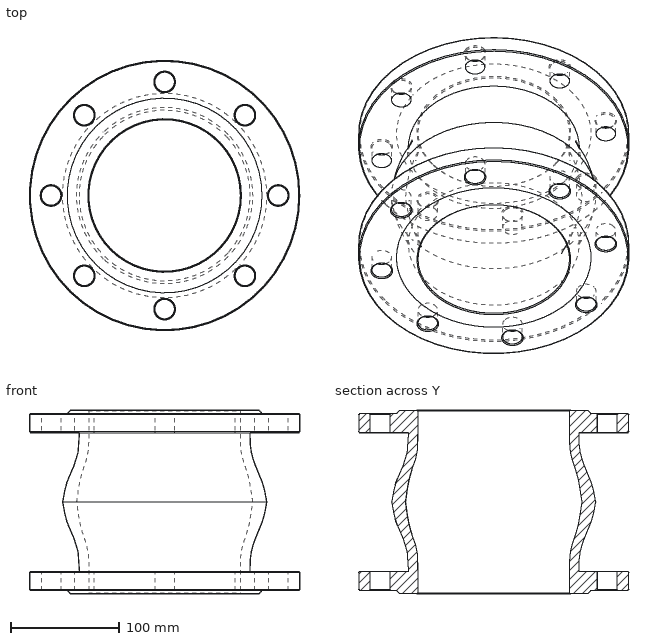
import cadquery as cq
import math

TOTAL_LENGTH = 170.0
FLANGE_DIAMETER = 250.0
FLANGE_THICKNESS = 18.0
FLANGE_CHAMFER = 1.0

FACE_HEIGHT = 3.0
FACE_CONE_ANGLE = 45.0
FACE_BASE_RADIUS = 90.0
FACE_TOP_RADIUS = FACE_BASE_RADIUS - FACE_HEIGHT / math.tan(math.radians(FACE_CONE_ANGLE))
FACE_EDGE_RADIUS = 1.0

BORE_DIAMETER = 140.0
BORE_CHAMFER = 1.0

BOLT_COUNT = 8
BOLT_CIRCLE_DIAMETER = 210.0
BOLT_HOLE_DIAMETER = 18.0
BOLT_HOLE_CHAMFER = 1.0

OUTER_RADII = (79.0, 81.0, 89.2, 94.5)
INNER_RADII = (BORE_DIAMETER / 2, 71.5, 78.0, 81.5)

CREST_SLOPE = 0.15

FACE_Z = TOTAL_LENGTH / 2
FLANGE_OUTER_Z = FACE_Z - FACE_HEIGHT
FLANGE_INNER_Z = FLANGE_OUTER_Z - FLANGE_THICKNESS

FULL_TURN = 360.0
AXIS_START = (0, 0, 0)
AXIS_END = (0, 1, 0)


def wall_points(radii):
    """(radius, height) points of a bellows wall curve, from the flange to the middle plane."""
    steps = len(radii) - 1
    return [(radius, FLANGE_INNER_Z * (1 - i / steps)) for i, radius in enumerate(radii)]


def make_upper_body():
    """Upper flange and half of the bellows, revolved about Z from one closed profile."""
    outer = wall_points(OUTER_RADII)
    inner_upward = wall_points(INNER_RADII)[::-1]
    bore = BORE_DIAMETER / 2
    rim = FLANGE_DIAMETER / 2

    cone_angle = math.radians(FACE_CONE_ANGLE)
    edge_setback = FACE_EDGE_RADIUS * math.tan(cone_angle / 2)
    edge_end = (
        FACE_TOP_RADIUS + edge_setback * math.cos(cone_angle),
        FACE_Z - edge_setback * math.sin(cone_angle),
    )

    outer_tangents = [(0, -1), (CREST_SLOPE, -1)]
    inner_tangents = [(-CREST_SLOPE, 1), (0, 1)]

    profile = (
        cq.Workplane("XZ")
        .moveTo(bore, FLANGE_INNER_Z)
        .lineTo(bore, FACE_Z - BORE_CHAMFER)
        .lineTo(bore + BORE_CHAMFER, FACE_Z)
        .lineTo(FACE_TOP_RADIUS - edge_setback, FACE_Z)
        .radiusArc(edge_end, FACE_EDGE_RADIUS)
        .lineTo(FACE_BASE_RADIUS, FLANGE_OUTER_Z)
        .lineTo(rim - FLANGE_CHAMFER, FLANGE_OUTER_Z)
        .lineTo(rim, FLANGE_OUTER_Z - FLANGE_CHAMFER)
        .lineTo(rim, FLANGE_INNER_Z + FLANGE_CHAMFER)
        .lineTo(rim - FLANGE_CHAMFER, FLANGE_INNER_Z)
        .lineTo(*outer[0])
        .spline(outer[1:], tangents=outer_tangents, includeCurrent=True)
        .lineTo(*inner_upward[0])
        .spline(inner_upward[1:], tangents=inner_tangents, includeCurrent=True)
        .close()
    )
    return profile.revolve(FULL_TURN, AXIS_START, AXIS_END)


def make_bolt_cutters():
    """Cutters for the bolt holes, each widened by a chamfer at the outer flange face."""
    radius = BOLT_HOLE_DIAMETER / 2
    cutter = (
        cq.Workplane("XZ")
        .moveTo(0, FLANGE_INNER_Z)
        .lineTo(radius, FLANGE_INNER_Z)
        .lineTo(radius, FLANGE_OUTER_Z - BOLT_HOLE_CHAMFER)
        .lineTo(radius + BOLT_HOLE_CHAMFER, FLANGE_OUTER_Z)
        .lineTo(0, FLANGE_OUTER_Z)
        .close()
        .revolve(FULL_TURN, AXIS_START, AXIS_END)
        .translate((BOLT_CIRCLE_DIAMETER / 2, 0, 0))
    )
    cutters = cq.Workplane("XY")
    for i in range(BOLT_COUNT):
        angle = i * FULL_TURN / BOLT_COUNT
        cutters = cutters.add(cutter.rotate((0, 0, 0), (0, 0, 1), angle))
    return cutters.combine()


upper_half = make_upper_body().cut(make_bolt_cutters())
lower_half = upper_half.mirror("XY")
result = upper_half.union(lower_half)